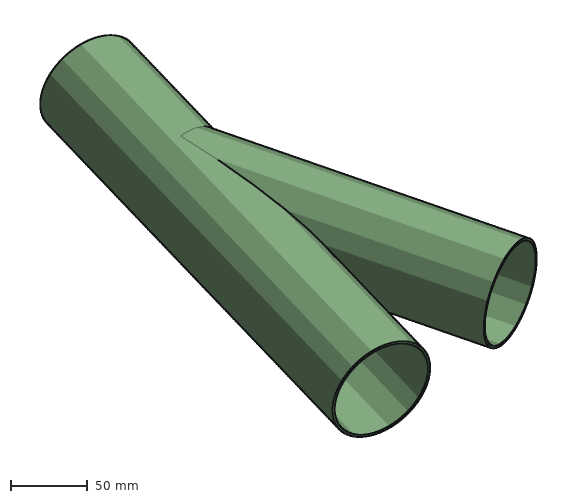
import cadquery as cq
import math

run_length = 352.0
outer_diameter = 76.0
bore_diameter = 72.0
branch_angle = 30.0
junction_x = 110.0
branch_length = 242.0

branch_direction = (
    math.cos(math.radians(branch_angle)),
    math.sin(math.radians(branch_angle)),
    0,
)
run_start = cq.Plane(origin=(0, 0, 0), xDir=(0, 1, 0), normal=(1, 0, 0))
branch_start = cq.Plane(origin=(junction_x, 0, 0), xDir=(0, 0, 1), normal=branch_direction)


def run_cylinder(diameter):
    """Solid cylinder along the straight run."""
    return cq.Workplane(run_start).circle(diameter / 2).extrude(run_length)


def branch_cylinder(diameter):
    """Solid cylinder along the slanted branch, starting at the run axis."""
    return cq.Workplane(branch_start).circle(diameter / 2).extrude(branch_length)


body = run_cylinder(outer_diameter).union(branch_cylinder(outer_diameter))
bores = run_cylinder(bore_diameter).union(branch_cylinder(bore_diameter))
result = body.cut(bores)